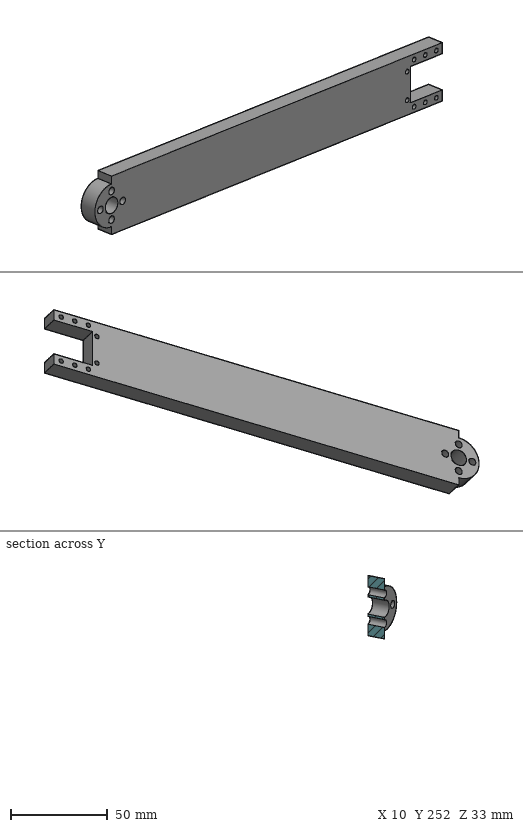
import cadquery as cq

length = 252.0
thickness = 10.0
height = 33.0

pivot_radius = 12.0
pivot_bore = 9.0
bolt_hole = 4.0
bolt_circle_radius = 8.0
bolt_count = 4

slot_depth = 23.0
slot_height = 20.5
pin_hole = 2.5
pin_pitch = 8.0
pins_per_prong = 3
first_pin_inset = 4.3
web_pin_inset = 2.5
web_pin_spacing = 16.1

fork_end = length - pivot_radius
slot_floor = fork_end - slot_depth
prong_center = (slot_height + height) / 4


def through_holes(points, diameter):
    """Cylinders through the full thickness at (Y, Z) points."""
    return (
        cq.Workplane("YZ")
        .pushPoints(points)
        .circle(diameter / 2)
        .extrude(thickness / 2, both=True)
    )


bar = cq.Workplane("XY").box(thickness, fork_end, height).translate((0, fork_end / 2, 0))
pivot_disc = through_holes([(0, 0)], 2 * pivot_radius)
body = bar.union(pivot_disc)

slot = (
    cq.Workplane("XY")
    .box(thickness, slot_depth, slot_height)
    .translate((0, slot_floor + slot_depth / 2, 0))
)
body = body.cut(slot)

bolt_holes = (
    cq.Workplane("YZ")
    .polarArray(bolt_circle_radius, 0, 360, bolt_count)
    .circle(bolt_hole / 2)
    .extrude(thickness / 2, both=True)
)
body = body.cut(through_holes([(0, 0)], pivot_bore)).cut(bolt_holes)

prong_pins = [
    (fork_end - first_pin_inset - i * pin_pitch, side * prong_center)
    for i in range(pins_per_prong)
    for side in (-1, 1)
]
web_pins = [(slot_floor - web_pin_inset, side * web_pin_spacing / 2) for side in (-1, 1)]
result = body.cut(through_holes(prong_pins + web_pins, pin_hole))